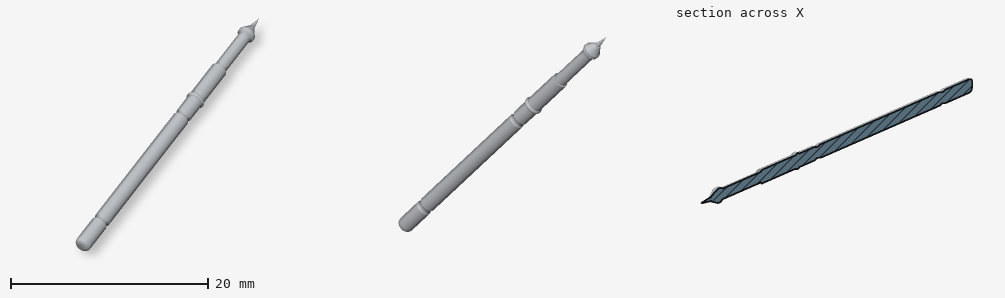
import cadquery as cq
import math


barrel_radius = 0.85
barrel_front_y = 27.38
rear_rounding = 0.45

groove_positions = (3.87, 20.08)
groove_half_width = 0.32
groove_depth = 0.1325

ring_y = 22.66
ring_outer_radius = 1.0
ring_section_radius = 0.25

plunger_radius = 0.67
plunger_overlap = 1.0
collar_radius = 0.9
collar_rear_y = 32.6
collar_front_y = 32.98

cone_tip_radius = 0.33
cone_front_y = 33.9
needle_radius = 0.25
needle_taper_y = 34.07
tip_y = 35.4


def make_barrel_body():
    """Plain round barrel with a rounded rear end."""
    rear_center_radius = barrel_radius - rear_rounding
    diagonal = math.sqrt(0.5)
    return (
        cq.Workplane("YZ")
        .moveTo(0, 0)
        .lineTo(0, rear_center_radius)
        .threePointArc(
            (rear_rounding * (1 - diagonal), rear_center_radius + rear_rounding * diagonal),
            (rear_rounding, barrel_radius),
        )
        .lineTo(barrel_front_y, barrel_radius)
        .lineTo(barrel_front_y, 0)
        .close()
        .revolve(360, (0, 0), (1, 0))
    )


def make_ring(y, center_radius, section_radius):
    """Torus around the Y axis, made by revolving a circle."""
    return (
        cq.Workplane("YZ")
        .center(y, center_radius)
        .circle(section_radius)
        .revolve(360, (0, -center_radius), (1, -center_radius))
    )


def make_groove_cutter(y):
    """Torus that leaves a groove of the chosen width and depth in the barrel."""
    section_radius = (groove_half_width**2 + groove_depth**2) / (2 * groove_depth)
    return make_ring(y, barrel_radius - groove_depth + section_radius, section_radius)


def make_plunger():
    """Plunger shaft with a collar on a conical foot, a cone and a needle tip."""
    shaft_rear_y = barrel_front_y - plunger_overlap
    foot_length = collar_radius - plunger_radius
    return (
        cq.Workplane("XY")
        .moveTo(0, shaft_rear_y)
        .lineTo(-plunger_radius, shaft_rear_y)
        .lineTo(-plunger_radius, collar_rear_y - foot_length)
        .lineTo(-collar_radius, collar_rear_y)
        .lineTo(-collar_radius, collar_front_y)
        .lineTo(-cone_tip_radius, cone_front_y)
        .lineTo(-needle_radius, cone_front_y)
        .lineTo(-needle_radius, needle_taper_y)
        .lineTo(0, tip_y)
        .close()
        .revolve(360, (0, 0), (0, 1))
    )


barrel = make_barrel_body()
for groove_y in groove_positions:
    barrel = barrel.cut(make_groove_cutter(groove_y))
stop_ring = make_ring(ring_y, ring_outer_radius - ring_section_radius, ring_section_radius)

result = barrel.union(stop_ring).union(make_plunger())